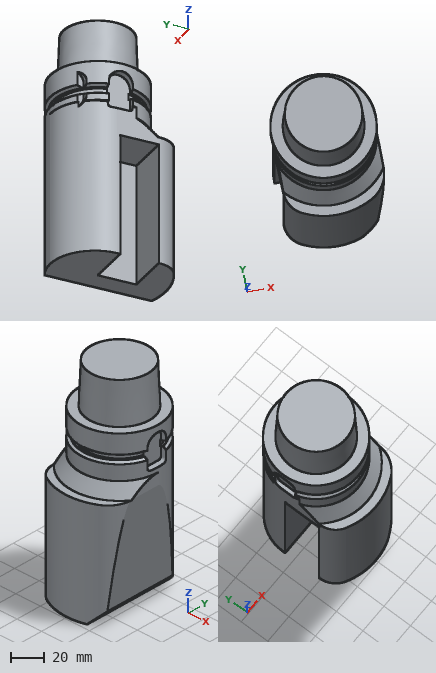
import cadquery as cq
import math

total_height = 159.0
pocket_height = 79.8
shoulder_z = 84.7
cone_top_z = 94.0
slot_bottom_z = 97.6
flange_bottom_z = 101.0
groove_bottom_z = 105.5
groove_top_z = 112.3
slot_top_z = 122.0
flange_top_z = 127.0

flange_radius = 31.5
spigot_top_radius = 22.9
spigot_base_radius = 24.2
groove_radius = 27.2
groove_chamfer_radius = 29.1
groove_chamfer_height = 1.5
shoulder_cone_radius = 38.8

left_face_x = -29.5
right_face_x = flange_radius
front_radius = 45.0
left_corner_radius = 15.5
right_corner_radius = 20.0

relief_x = 25.1
relief_z = 11.0
relief_bottom_x = relief_x - relief_z

pocket_width = 25.5
pocket_floor_x = 0.0

slot_width = 15.9
full_round_radius = slot_width / 2 - 0.02
slot_floor_x = 26.2
slot_corner_radius = 2.0
notch_center_y = 27.7
notch_floor_x = -20.5
notch_bottom_z = 96.7
cut_margin = 8.0


def corner_points(face_x, corner_radius):
    """Start, middle and end of the arc that blends a side face into the front arc."""
    side = math.copysign(1, face_x)
    center_distance = front_radius - corner_radius
    center_x = abs(face_x) - corner_radius
    center_y = -math.sqrt(center_distance**2 - center_x**2)
    end_angle = math.atan2(center_y, center_x)

    def on_arc(angle):
        x = center_x + corner_radius * math.cos(angle)
        y = center_y + corner_radius * math.sin(angle)
        return side * x, y

    return on_arc(0), on_arc(end_angle / 2), on_arc(end_angle)


def make_shank():
    back_left_radius = -left_face_x
    back_left_center_y = flange_radius - back_left_radius
    diagonal = math.sqrt(0.5)
    left_start, left_middle, left_end = corner_points(left_face_x, left_corner_radius)
    right_start, right_middle, right_end = corner_points(right_face_x, right_corner_radius)
    prism = (
        cq.Workplane("XY")
        .moveTo(0, flange_radius)
        .threePointArc(
            (-back_left_radius * diagonal, back_left_center_y + back_left_radius * diagonal),
            (left_face_x, back_left_center_y),
        )
        .lineTo(*left_start)
        .threePointArc(left_middle, left_end)
        .threePointArc((0, -front_radius), right_end)
        .threePointArc(right_middle, right_start)
        .lineTo(right_face_x, 0)
        .threePointArc((flange_radius * diagonal, flange_radius * diagonal), (0, flange_radius))
        .close()
        .extrude(flange_bottom_z)
    )
    envelope_radius = front_radius + cut_margin
    envelope = (
        cq.Workplane("XZ")
        .polyline([
            (0, 0),
            (envelope_radius, 0),
            (envelope_radius, shoulder_z),
            (shoulder_cone_radius, shoulder_z),
            (flange_radius, cone_top_z),
            (flange_radius, flange_bottom_z),
            (0, flange_bottom_z),
        ])
        .close()
        .revolve(360, (0, 0, 0), (0, 1, 0))
    )
    return prism.intersect(envelope)


def make_flange_and_spigot():
    groove_floor_bottom = groove_bottom_z + groove_chamfer_height
    groove_floor_top = groove_top_z - groove_chamfer_height
    return (
        cq.Workplane("XZ")
        .polyline([
            (0, flange_bottom_z),
            (flange_radius, flange_bottom_z),
            (flange_radius, groove_bottom_z),
            (groove_chamfer_radius, groove_floor_bottom),
            (groove_radius, groove_floor_bottom),
            (groove_radius, groove_floor_top),
            (groove_chamfer_radius, groove_floor_top),
            (flange_radius, groove_top_z),
            (flange_radius, flange_top_z),
            (spigot_base_radius, flange_top_z),
            (spigot_top_radius, total_height),
            (0, total_height),
        ])
        .close()
        .revolve(360, (0, 0, 0), (0, 1, 0))
    )


def side_relief_cutter():
    outer_x = right_face_x + cut_margin
    depth = 2 * (front_radius + cut_margin)
    return (
        cq.Workplane("XZ")
        .polyline([
            (relief_bottom_x, 0),
            (relief_x, relief_z),
            (right_face_x, shoulder_z),
            (outer_x, shoulder_z),
            (outer_x, 0),
        ])
        .close()
        .extrude(depth / 2, both=True)
    )


def pocket_cutter():
    length = pocket_floor_x - left_face_x + cut_margin
    return (
        cq.Workplane("XY")
        .box(length, pocket_width, pocket_height, centered=False)
        .translate((pocket_floor_x - length, -pocket_width, 0))
    )


def slot_cutter(bottom_z, bottom_radius, length):
    """Slot with a round top, starting at x = 0 and running along +X."""
    height = slot_top_z - bottom_z
    return (
        cq.Workplane("XY")
        .box(length, slot_width, height, centered=(False, True, False))
        .edges("|X and >Z")
        .fillet(full_round_radius)
        .edges("|X and <Z")
        .fillet(bottom_radius)
        .translate((0, 0, bottom_z))
    )


result = make_shank().union(make_flange_and_spigot())
result = result.cut(side_relief_cutter()).cut(pocket_cutter())

drive_slot = slot_cutter(slot_bottom_z, slot_corner_radius, cut_margin).translate((slot_floor_x, 0, 0))
for angle in (0, 180):
    result = result.cut(drive_slot.rotate((0, 0, 0), (0, 0, 1), angle))

notch_length = flange_radius + notch_floor_x + cut_margin
notch = slot_cutter(notch_bottom_z, full_round_radius, notch_length)
result = result.cut(notch.translate((notch_floor_x - notch_length, notch_center_y, 0)))